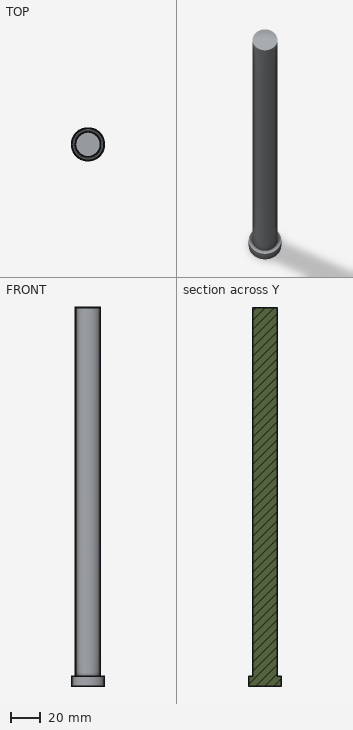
import cadquery as cq

total_length = 257.0
head_diameter = 22.0
head_height = 7.0
shank_diameter = 17.0
shank_length = total_length - head_height

head = cq.Workplane("XY").circle(head_diameter / 2).extrude(head_height)
shank = (
    cq.Workplane("XY")
    .workplane(offset=head_height)
    .circle(shank_diameter / 2)
    .extrude(shank_length)
)

result = head.union(shank)